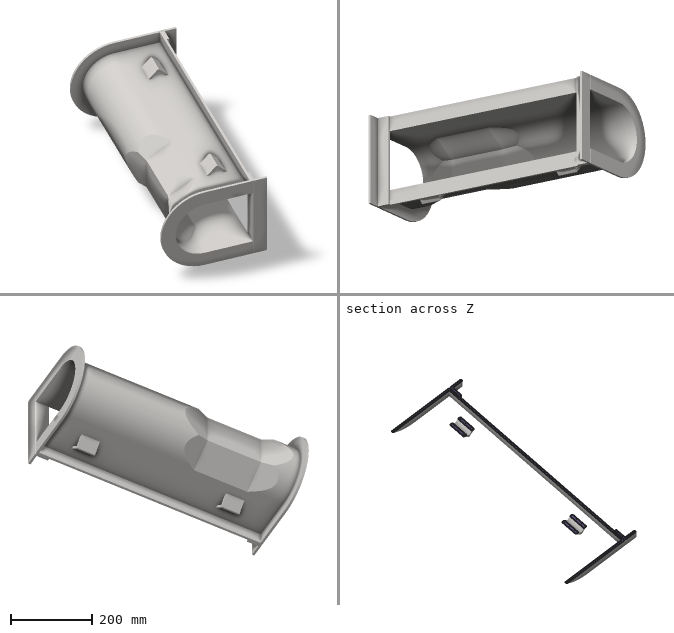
import cadquery as cq
import math

LENGTH = 635.0
BACK_Y = 127.0
THICKNESS = 6.5

FLANGE_RADIUS = 114.0
DUCT_RADIUS = 82.5

DENT_CENTER_X = 140.0
DENT_LENGTH = 150.0
DENT_DISTANCE = 57.0
DENT_HALF_HEIGHT = 42.0
PANEL_ANGLE = 60.0
RAMP_ANGLE = 18.3
CUTTER_REACH = 127.0

BAR_CHAMFER = 2.5
END_BAR_LEG = 38.0
LUG_HALF_SPAN = 26.5
LUG_WIDTH = 51.0
LUG_CENTERS_X = (-209.0, 197.0)
LUG_RIDGE_Y = 68.5


def u_prism(radius, back_y, length):
    """U-shaped prism centred on x = 0: round at the nose, flat at the back."""
    return (
        cq.Workplane("YZ")
        .moveTo(back_y, radius)
        .lineTo(0, radius)
        .threePointArc((-radius, 0), (0, -radius))
        .lineTo(back_y, -radius)
        .close()
        .extrude(length / 2, both=True)
    )


def dented_prism(radius, inset):
    """Duct-length U prism with the dent panels moved inward by the given inset."""
    ramp = math.radians(RAMP_ANGLE)
    turn = math.radians(PANEL_ANGLE)
    side_distance = DENT_DISTANCE * math.cos(turn) + DENT_HALF_HEIGHT * math.sin(turn)
    half_length = DENT_LENGTH / 2 + inset * math.tan(ramp / 2)

    prism = u_prism(radius, BACK_Y, LENGTH)
    panels = ((DENT_DISTANCE, 0), (side_distance, PANEL_ANGLE), (side_distance, -PANEL_ANGLE))
    for distance, angle in panels:
        panel_y = inset - distance
        outer_half_length = half_length + (CUTTER_REACH + panel_y) / math.tan(ramp)
        cutter = (
            cq.Workplane("XY")
            .polyline([
                (DENT_CENTER_X - half_length, panel_y),
                (DENT_CENTER_X + half_length, panel_y),
                (DENT_CENTER_X + outer_half_length, -CUTTER_REACH),
                (DENT_CENTER_X - outer_half_length, -CUTTER_REACH),
            ])
            .close()
            .extrude(CUTTER_REACH, both=True)
            .rotate((0, 0, 0), (1, 0, 0), angle)
        )
        prism = prism.cut(cutter)
    return prism


def make_housing():
    envelope = u_prism(FLANGE_RADIUS, BACK_Y, LENGTH)
    space_between_flanges = u_prism(
        FLANGE_RADIUS, BACK_Y - THICKNESS, LENGTH - 2 * THICKNESS
    )
    flanges = envelope.cut(space_between_flanges)
    duct = dented_prism(DUCT_RADIUS, 0)
    cavity = dented_prism(DUCT_RADIUS - THICKNESS, THICKNESS)
    return flanges.union(duct).cut(cavity)


def angle_bar(leg, length):
    """Equal-leg angle bar along Z, its outer corner bevelled at the origin, legs along +X and +Y."""
    return (
        cq.Workplane("XY")
        .polyline([
            (BAR_CHAMFER, 0),
            (leg, 0),
            (leg, THICKNESS),
            (THICKNESS, THICKNESS),
            (THICKNESS, leg),
            (0, leg),
            (0, BAR_CHAMFER),
        ])
        .close()
        .extrude(length / 2, both=True)
    )


def make_end_bars():
    left_bar = angle_bar(END_BAR_LEG, 2 * FLANGE_RADIUS).translate((-LENGTH / 2, BACK_Y, 0))
    return [left_bar, left_bar.mirror("YZ")]


def make_lug(center_x, side):
    """Angle-shaped lug on a flat duct face, ridge outward; side is +1 above and -1 below."""
    foot_width = THICKNESS * math.sqrt(2)
    ridge_half_width = BAR_CHAMFER / math.sqrt(2)
    ridge_height = LUG_HALF_SPAN - ridge_half_width
    inner_half_span = LUG_HALF_SPAN - foot_width
    return (
        cq.Workplane("YZ")
        .polyline([
            (-LUG_HALF_SPAN, 0),
            (-ridge_half_width, side * ridge_height),
            (ridge_half_width, side * ridge_height),
            (LUG_HALF_SPAN, 0),
            (inner_half_span, 0),
            (0, side * inner_half_span),
            (-inner_half_span, 0),
        ])
        .close()
        .extrude(LUG_WIDTH / 2, both=True)
        .translate((center_x, LUG_RIDGE_Y, side * DUCT_RADIUS))
    )


housing = make_housing()
end_bars = make_end_bars()
lugs = [make_lug(center_x, side) for center_x in LUG_CENTERS_X for side in (1, -1)]

result = cq.Compound.makeCompound([body.val() for body in (housing, *end_bars, *lugs)])